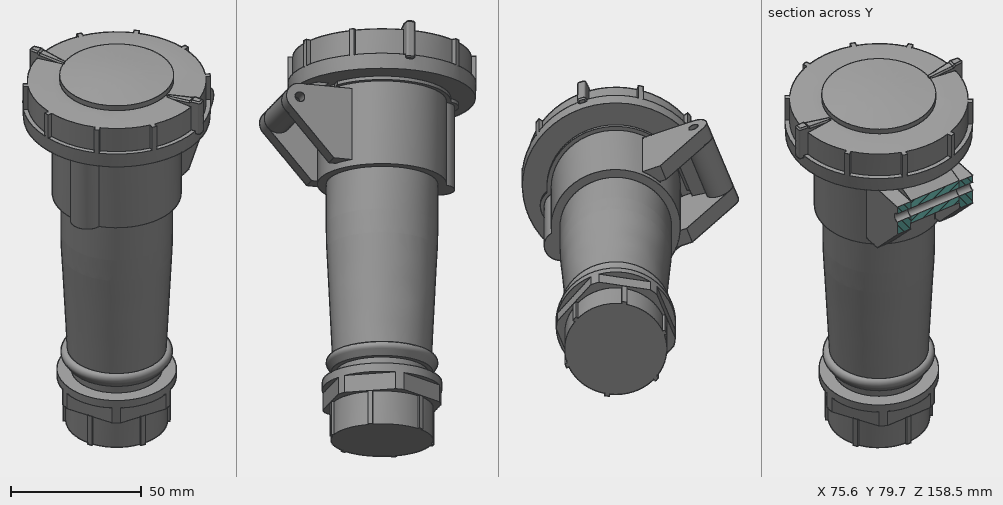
import cadquery as cq
import math


cover_bottom = 138.2
flange_top = 144.2
grip_top = 154.7
annulus_crown_top = 155.1
annulus_crown_radius = 26.0
annulus_inner_top = 154.9
disc_top = 157.1
dome_top = 158.5
flange_bottom_radius = 35.75
ring_radius = 36.0
grip_radius = 34.2
disc_radius = 21.85
rib_count = 10
rib_width = 2.0
rib_embed = 1.0

wing_tip_radius = 37.8
wing_wide_radius = 33.2
wing_crest_radius = 34.0
wing_inner_radius = 22.7
wing_bottom = 142.5
wing_top = 157.5
wing_shoulder_top = 156.9
wing_inner_top = 155.3
wing_tip_width = 3.2
wing_wide_width = 4.0
wing_inner_width = 2.2
wing_edge_round = 0.9
wing_top_bevel = 0.6

hinge_y = 38.3
hinge_z = 129.3
hinge_radius = 5.4
hinge_hole_radius = 1.9
hinge_half_width = 17.5
arm_half_width = 11.2
arm_slope = math.radians(19.5)
arm_root_y = 24.9
arm_inner_y = 27.0
lug_bottom = 106.0

housing_bottom = 103.4
housing_radius = 24.75
collar_bottom = 136.8
collar_radius = 26.4
bump_radius = 6.4
bump_front_y = -28.85
collar_overhang = 1.5
pad_half_width = 12.8
pad_back_y = 22.3

barrel_radius = 21.4
barrel_bottom = 86.3
taper_top = 76.8
taper_top_radius = 21.15
bead_top = 33.3
bead_round = 2.1
taper_bottom_radius = 19.0
bead_axis_radius = barrel_radius - bead_round
bead_round_bottom = 30.0
bead_bottom = 27.7
neck_radius = 17.5

nut_top = 23.5
nut_radius = 22.9
hex_top = 20.1
hex_bottom = 13.3
hex_sides = 6
hex_across_flats = 41.2
nut_body_radius = 19.55
nut_rib_radius = 20.5
nut_rib_width = 1.9
nut_rib_count = 6


def cylinder(radius, bottom, top, y=0):
    return cq.Workplane("XY", origin=(0, y, bottom)).circle(radius).extrude(top - bottom)


def slab(x_range, y_range, z_range):
    """Axis-aligned block between the given limits."""
    size = (x_range[1] - x_range[0], y_range[1] - y_range[0], z_range[1] - z_range[0])
    return cq.Workplane("XY").box(*size, centered=False).translate((x_range[0], y_range[0], z_range[0]))


def hinge_cylinder(radius, half_width):
    """Cylinder on the hinge axis, which runs along X."""
    plane = cq.Workplane("YZ", origin=(-half_width, 0, 0))
    return plane.center(hinge_y, hinge_z).circle(radius).extrude(2 * half_width)


def hinge_prism(points, half_width):
    """Outline in Y and Z, extruded symmetrically along X."""
    return cq.Workplane("YZ").polyline(points).close().extrude(half_width, both=True)


def cover_disc():
    """Flange, recessed grip band, slightly crowned annulus and domed centre."""
    dome_mid_radius = disc_radius / 2
    dome_rise = dome_top - disc_top
    dome_sphere_radius = (disc_radius**2 + dome_rise**2) / (2 * dome_rise)
    dome_mid_z = dome_top - dome_sphere_radius + math.sqrt(dome_sphere_radius**2 - dome_mid_radius**2)
    return (
        cq.Workplane("XZ")
        .moveTo(0, cover_bottom)
        .lineTo(flange_bottom_radius, cover_bottom)
        .lineTo(ring_radius, flange_top)
        .lineTo(grip_radius, flange_top)
        .lineTo(grip_radius, grip_top)
        .threePointArc((annulus_crown_radius, annulus_crown_top), (disc_radius, annulus_inner_top))
        .lineTo(disc_radius, disc_top)
        .threePointArc((dome_mid_radius, dome_mid_z), (0, dome_top))
        .close()
        .revolve(360, (0, 0, 0), (0, 1, 0))
    )


def grip_ribs():
    """Upright ribs that bring the grip band out to the flange radius."""
    rib = slab(
        (grip_radius - rib_embed, ring_radius + rib_width),
        (-rib_width / 2, rib_width / 2),
        (flange_top, grip_top),
    )
    ribs = cq.Workplane("XY")
    for index in range(rib_count):
        ribs = ribs.add(rib.rotate((0, 0, 0), (0, 0, 1), index * 360 / rib_count))
    return ribs.combine().intersect(cylinder(ring_radius, flange_top, grip_top))


def wing():
    """Tapered grip wing on +X: its plan shape cut by its side profile."""
    plan = (
        cq.Workplane("XY", origin=(0, 0, wing_bottom))
        .moveTo(wing_inner_radius, -wing_inner_width / 2)
        .lineTo(wing_wide_radius, -wing_wide_width / 2)
        .lineTo(wing_tip_radius, -wing_tip_width / 2)
        .lineTo(wing_tip_radius, wing_tip_width / 2)
        .lineTo(wing_wide_radius, wing_wide_width / 2)
        .lineTo(wing_inner_radius, wing_inner_width / 2)
        .close()
        .extrude(wing_top - wing_bottom)
    )
    profile = (
        cq.Workplane("XZ")
        .moveTo(wing_inner_radius, wing_bottom)
        .lineTo(wing_tip_radius, wing_bottom)
        .lineTo(wing_tip_radius, wing_top)
        .lineTo(wing_crest_radius, wing_top)
        .lineTo(wing_wide_radius, wing_shoulder_top)
        .lineTo(wing_inner_radius, wing_inner_top)
        .close()
        .extrude(wing_wide_width, both=True)
    )
    blade = plan.intersect(profile)
    blade = blade.faces(">X").edges("|Z").fillet(wing_edge_round)
    crest_edges = blade.faces("not #Z").faces("not <Z").edges("not |Y")
    return crest_edges.chamfer(wing_top_bevel)


def hinge_arm():
    """Sloping arm from the underside of the flange to a knuckle on the hinge axis."""
    tangent_y = hinge_y + hinge_radius * math.sin(arm_slope)
    tangent_z = hinge_z + hinge_radius * math.cos(arm_slope)
    root_outer_y = tangent_y - (cover_bottom - tangent_z) / math.tan(arm_slope)
    inner_z = cover_bottom - (arm_inner_y - arm_root_y)
    web = hinge_prism(
        [
            (arm_root_y, cover_bottom),
            (root_outer_y, cover_bottom),
            (tangent_y, tangent_z),
            (hinge_y, hinge_z),
            (arm_inner_y, hinge_z + hinge_radius / 2),
            (arm_inner_y, inner_z),
        ],
        arm_half_width,
    )
    knuckle = hinge_cylinder(hinge_radius, arm_half_width)
    return web.union(knuckle).cut(hinge_cylinder(hinge_hole_radius, arm_half_width))


def make_cover():
    body = cover_disc().union(grip_ribs())
    for angle in (0, 180):
        body = body.union(wing().rotate((0, 0, 0), (0, 0, 1), angle))
    return body.union(hinge_arm())


def handle():
    """Barrel, tapered grip, rounded bead and neck as one turned shape."""
    bead_centre_z = bead_top - bead_round
    lower_angle = math.asin((bead_centre_z - bead_round_bottom) / bead_round)
    bead_low_radius = bead_axis_radius + bead_round * math.cos(lower_angle)
    bead_bottom_radius = bead_low_radius - (bead_round_bottom - bead_bottom) * math.tan(lower_angle)
    return (
        cq.Workplane("XZ")
        .moveTo(0, housing_bottom)
        .lineTo(barrel_radius, housing_bottom)
        .lineTo(barrel_radius, barrel_bottom)
        .tangentArcPoint((taper_top_radius, taper_top), relative=False)
        .lineTo(taper_bottom_radius, bead_top)
        .lineTo(bead_axis_radius, bead_top)
        .threePointArc((barrel_radius, bead_centre_z), (bead_low_radius, bead_round_bottom))
        .lineTo(bead_bottom_radius, bead_bottom)
        .lineTo(neck_radius, bead_bottom)
        .lineTo(neck_radius, nut_top)
        .lineTo(0, nut_top)
        .close()
        .revolve(360, (0, 0, 0), (0, 1, 0))
    )


def gland_nut():
    """Round flange, hexagon with truncated corners and a ribbed lower sleeve."""
    hex_diameter = hex_across_flats / math.cos(math.pi / hex_sides)
    hexagon = (
        cq.Workplane("XY", origin=(0, 0, hex_bottom))
        .polygon(hex_sides, hex_diameter)
        .extrude(hex_top - hex_bottom)
        .intersect(cylinder(nut_radius, hex_bottom, hex_top))
    )
    nut = cylinder(nut_radius, hex_top, nut_top).union(hexagon)
    nut = nut.union(cylinder(nut_body_radius, 0, hex_bottom))
    rib = slab(
        (nut_body_radius - rib_embed, nut_rib_radius),
        (-nut_rib_width / 2, nut_rib_width / 2),
        (0, hex_bottom),
    )
    for index in range(nut_rib_count):
        angle = (index + 0.5) * 360 / nut_rib_count
        nut = nut.union(rib.rotate((0, 0, 0), (0, 0, 1), angle))
    return nut


def housing_shell():
    """Socket housing with its front bump, rim collar and rear pad."""
    bump_y = bump_front_y + bump_radius
    shell = cylinder(housing_radius, housing_bottom, cover_bottom)
    shell = shell.union(cylinder(bump_radius, housing_bottom, cover_bottom, y=bump_y))
    collar = cylinder(collar_radius, collar_bottom, cover_bottom)
    collar = collar.union(cylinder(bump_radius + collar_overhang, collar_bottom, cover_bottom, y=bump_y))
    collar_front = slab(
        (-collar_radius, collar_radius),
        (bump_front_y - collar_overhang, pad_back_y),
        (collar_bottom, cover_bottom),
    )
    pad = slab((-pad_half_width, pad_half_width), (0, pad_back_y), (lug_bottom, cover_bottom))
    return shell.union(collar.intersect(collar_front)).union(pad)


def hinge_lugs():
    """Pair of lugs either side of the cover arm, rooted in the housing wall."""
    root_y = math.sqrt(housing_radius**2 - hinge_half_width**2)
    heel_y = housing_radius
    run = hinge_y - heel_y
    rise = hinge_z - lug_bottom
    edge_angle = math.atan2(rise, run) - math.asin(hinge_radius / math.hypot(run, rise))
    tangent_y = hinge_y + hinge_radius * math.sin(edge_angle)
    tangent_z = hinge_z - hinge_radius * math.cos(edge_angle)
    lug_top = hinge_z + hinge_radius
    plate = hinge_prism(
        [
            (root_y, lug_bottom),
            (heel_y, lug_bottom),
            (tangent_y, tangent_z),
            (hinge_y, hinge_z),
            (hinge_y, lug_top),
            (root_y, lug_top),
        ],
        hinge_half_width,
    )
    nose = hinge_cylinder(hinge_radius, hinge_half_width)
    gap = slab(
        (-arm_half_width, arm_half_width),
        (0, hinge_y + 2 * hinge_radius),
        (lug_bottom, lug_top),
    )
    return plate.union(nose).cut(gap).cut(hinge_cylinder(hinge_hole_radius, hinge_half_width))


def make_connector():
    return housing_shell().union(hinge_lugs()).union(handle()).union(gland_nut())


cover = make_cover()
connector = make_connector()
result = cq.Compound.makeCompound([cover.val(), connector.val()])